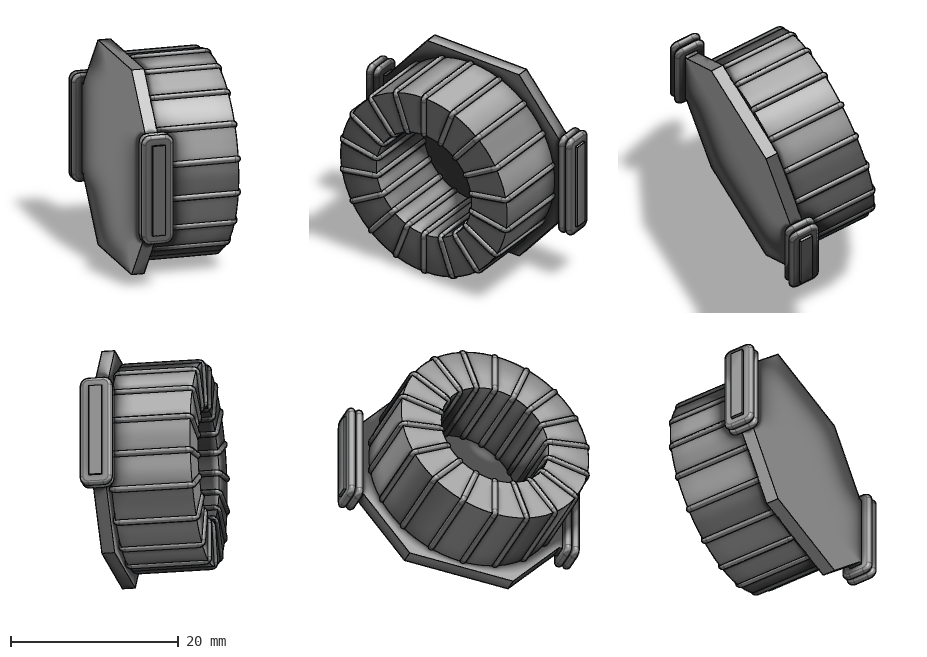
import cadquery as cq


plate_length = 30.5
plate_size = 25.4
plate_thickness = 1.55
plate_top_width = 13.42
tab_height = 11.13

terminal_wire_radius = 0.412
terminal_reach = 1.15
terminal_bend_radius = 0.6
terminal_pitch = 1.0
terminal_end_gap = 0.3
rings_per_tab = 2

core_outer_radius = 12.17
core_inner_radius = 6.95
turn_count = 18
turn_wire_radius = 0.37 
turn_bend_radius = 0.45
toroid_depth = 10.5

core_depth = toroid_depth - 2 * turn_wire_radius
core_center_y = plate_thickness + toroid_depth / 2


def rounded_rectangle(plane, width, height, corner_radius):
    """Closed outline centred on the plane origin, starting mid-way along its lower side."""
    half_width = width / 2
    half_height = height / 2
    flat_x = half_width - corner_radius
    flat_y = half_height - corner_radius
    return (
        cq.Workplane(plane)
        .moveTo(0, -half_height)
        .lineTo(flat_x, -half_height)
        .tangentArcPoint((half_width, -flat_y), relative=False)
        .lineTo(half_width, flat_y)
        .tangentArcPoint((flat_x, half_height), relative=False)
        .lineTo(-flat_x, half_height)
        .tangentArcPoint((-half_width, flat_y), relative=False)
        .lineTo(-half_width, -flat_y)
        .tangentArcPoint((-flat_x, -half_height), relative=False)
        .close()
    )


def wire_loop(plane, width, height, bend_radius, wire_radius):
    """Round wire bent into a closed rounded rectangle."""
    centerline = rounded_rectangle(plane, width, height, bend_radius)
    section_plane = cq.Plane(
        origin=plane.toWorldCoords((0, -height / 2)), xDir=plane.zDir, normal=plane.xDir
    )
    return cq.Workplane(section_plane).circle(wire_radius).sweep(centerline)


def make_plate():
    """Octagonal plate with a rectangular tab at each X end."""
    half_size = plate_size / 2
    half_top = plate_top_width / 2
    half_tab = tab_height / 2
    octagon = [
        (half_top, half_size),
        (half_size, half_tab),
        (half_size, -half_tab),
        (half_top, -half_size),
        (-half_top, -half_size),
        (-half_size, -half_tab),
        (-half_size, half_tab),
        (-half_top, half_size),
    ]
    plate = cq.Workplane("XZ").polyline(octagon).close().extrude(-plate_thickness)
    tabs = cq.Workplane("XZ").rect(plate_length, tab_height).extrude(-plate_thickness)
    return plate.union(tabs)


def make_terminal_ring(center_x):
    """One wire ring around a tab, with the flat filling inside its centreline."""
    plane = cq.Plane(origin=(center_x, plate_thickness / 2, 0), xDir=(0, 1, 0), normal=(1, 0, 0))
    centerline_inset = terminal_reach - terminal_wire_radius
    width = plate_thickness + 2 * centerline_inset
    height = tab_height + 2 * centerline_inset
    filling = rounded_rectangle(plane, width, height, terminal_bend_radius)
    filling = filling.extrude(terminal_wire_radius, both=True)
    return filling.union(wire_loop(plane, width, height, terminal_bend_radius, terminal_wire_radius))


def make_base():
    """Mounting plate with its terminal rings."""
    base = make_plate()
    first_ring_x = plate_length / 2 - terminal_end_gap - terminal_wire_radius
    for side in (-1, 1):
        for index in range(rings_per_tab):
            base = base.union(make_terminal_ring(side * (first_ring_x - index * terminal_pitch)))
    return base


def make_core():
    """Plain ring around the Y axis."""
    return (
        cq.Workplane("XZ", origin=(0, core_center_y + core_depth / 2, 0))
        .circle(core_outer_radius)
        .circle(core_inner_radius)
        .extrude(core_depth)
    )


def make_turn():
    """The turn at the top of the core, in the YZ plane."""
    turn_center_z = (core_outer_radius + core_inner_radius) / 2
    turn_height = core_outer_radius - core_inner_radius
    plane = cq.Plane(origin=(0, core_center_y, turn_center_z), xDir=(0, 1, 0), normal=(1, 0, 0))
    return wire_loop(plane, core_depth, turn_height, turn_bend_radius, turn_wire_radius)


def make_toroid():
    """Core with its turns spaced evenly around the Y axis."""
    toroid = make_core()
    turn = make_turn()
    for index in range(turn_count):
        angle = index * 360 / turn_count
        toroid = toroid.union(turn.rotate((0, 0, 0), (0, 1, 0), angle))
    return toroid


base = make_base()
toroid = make_toroid()

result = cq.Compound.makeCompound([base.solids().val(), toroid.solids().val()])